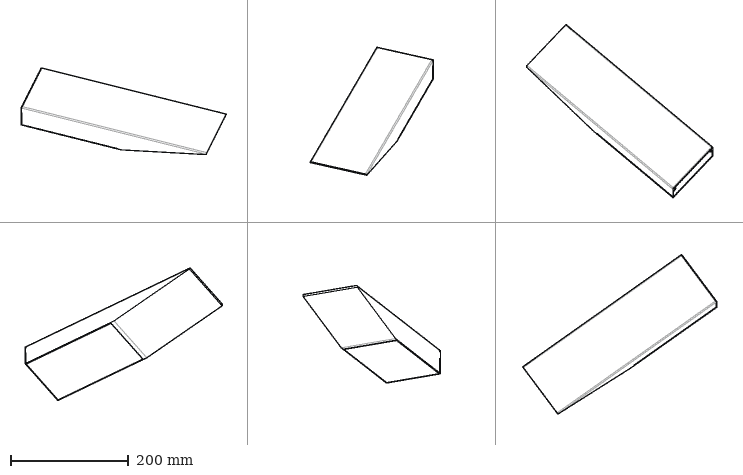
import cadquery as cq

LENGTH = 334
WIDTH = 102.0
HEIGHT = 43.8

SHEET = 1.0
BEND_RADIUS = 1.5
SIDE_WALL = 1.5
COVER_WIDTH = WIDTH - 2 * SIDE_WALL
COVER_LENGTH = 173.5

FLAT_LENGTH = 180.5
TIP_SETBACK = 1.0
TIP_HEIGHT = 3.5
TOP_ROUND = 2.0

BOSS_DIAMETER = 12.0
BOSS_INSET = 1.0
BOSS_DROP = 9.0


def make_wedge():
    """Solid outer shape of the housing, centred on Y with its blunt end at X = 0."""
    profile = [
        (0, SHEET),
        (FLAT_LENGTH, SHEET),
        (LENGTH - TIP_SETBACK, HEIGHT - TIP_HEIGHT),
        (LENGTH, HEIGHT),
        (0, HEIGHT),
    ]
    wedge = cq.Workplane("XZ").polyline(profile).close().extrude(WIDTH / 2, both=True)
    return wedge.faces(">Z").edges("not >X").fillet(TOP_ROUND)


def make_bosses():
    """Two short discs at the upper corners of the blunt end."""
    boss_y = WIDTH / 2 - BOSS_INSET
    boss_z = HEIGHT - BOSS_DROP
    return (
        cq.Workplane("YZ")
        .pushPoints([(-boss_y, boss_z), (boss_y, boss_z)])
        .circle(BOSS_DIAMETER / 2)
        .extrude(SHEET)
    )


def make_sheet():
    """L-shaped sheet, still sharp outside its bend, with a boss notch in each upper corner."""
    panel_top = HEIGHT - TOP_ROUND
    profile = [
        (0, 0),
        (COVER_LENGTH, 0),
        (COVER_LENGTH, SHEET),
        (SHEET, SHEET),
        (SHEET, panel_top),
        (0, panel_top),
    ]
    sheet = cq.Workplane("XZ").polyline(profile).close().extrude(COVER_WIDTH / 2, both=True)
    inner_bend = cq.selectors.NearestToPointSelector((SHEET, 0, SHEET))
    sheet = sheet.edges("|Y").edges(inner_bend).fillet(BEND_RADIUS - SHEET)
    return sheet.cut(make_bosses())


def make_cover():
    """Bent sheet with the outside of its bend rounded."""
    outer_bend = cq.selectors.NearestToPointSelector((0, 0, 0))
    return make_sheet().edges("|Y").edges(outer_bend).fillet(BEND_RADIUS)


def make_housing():
    """Wedge recessed to seat the end panel, with the bosses left standing in its notches."""
    return make_wedge().cut(make_sheet())


housing = make_housing()
cover = make_cover()

result = cq.Compound.makeCompound([housing.solids().val(), cover.solids().val()])